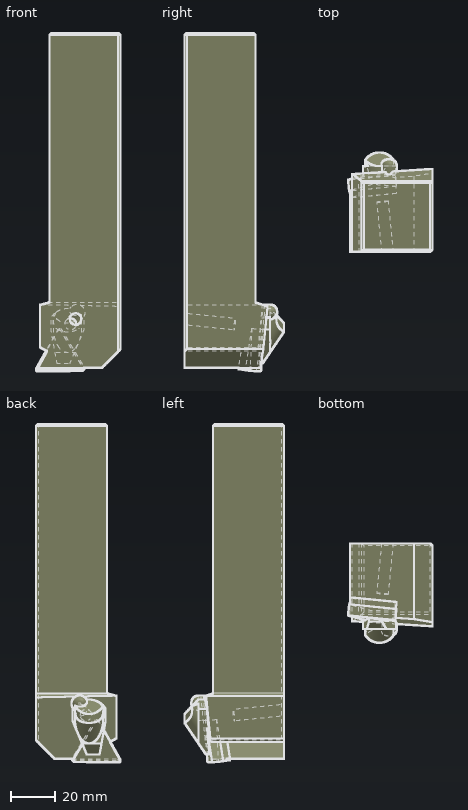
import cadquery as cq
import math

shank_size = 32.0
shank_top = 152.4
edge_chamfer = 1.0

head_overhang = 4.3
head_bottom = 1.7
shoulder_z = 31.1
shoulder_drop = 1.0
shoulder_fillet = 0.53
notch_z = 10.8
notch_x = -1.0
notch_root_z = 9.1
heel_x = -5.2
corner_chamfer = 8.4

head_rear_y = 35.0
head_rise_x = 0.067
head_rise_z = 0.1
rear_shoulder_slope = 0.33
head_stock_y = 45.7
cutter_size = 152.4

insert_edge = 22.7
insert_thickness = 5.0
insert_nose_radius = 0.84
insert_tip = (-6.7, 32.3, 0.0)
insert_rake = math.radians(5.7)
insert_approach = math.radians(1.0)
shim_thickness = 3.2
shim_inset = 0.2

clamp_x = 8.1
clamp_base_y = 32.8
clamp_peak_y = 44.8
clamp_half_width = 7.5
clamp_wall_y = 38.5
clamp_ridge_radius = 6.4
ridge_overrun = 15.2
clamp_nose_z = 3.7
clamp_nose_left = 3.4
clamp_nose_right = 9.1
clamp_nose_y = 35.2
clamp_flat_bottom_z = 18.9
clamp_flat_top_z = 24.1
clamp_back_z = 28.3
clamp_hump_bottom_z = 17.8
clamp_hump_top_z = 21.8
tail_x = 12.3
tail_z = 26.5
tail_radius = 3.7
tail_top_y = 41.8
tail_round = 3.2

screw_hole_x = 11.7
screw_hole_z = 23.6
screw_hole_diameter = 5.2
screw_hole_depth = 22.9
entry_overrun = 1.5

rake_slope = math.tan(insert_rake)
seat_normal = cq.Vector(-rake_slope, 1, -rake_slope)


def make_shank():
    """Square bar with one chamfered long edge and a chamfered end."""
    height = shank_top - shoulder_z
    bar = cq.Workplane("XY").box(shank_size, shank_size, height, centered=False)
    bar = bar.translate((0, 0, shoulder_z))
    return bar.faces(">Z").chamfer(edge_chamfer)


def make_head():
    """Head block with side notch, heel chamfer and sloping rear face."""
    shoulder_corner_z = shoulder_z - shoulder_drop
    outline = [
        (shank_size, shoulder_z),
        (0, shoulder_z),
        (-head_overhang, shoulder_corner_z),
        (-head_overhang, notch_z),
        (notch_x, notch_root_z),
        (heel_x, head_bottom),
        (shank_size - corner_chamfer, head_bottom),
        (shank_size, head_bottom + corner_chamfer),
    ]
    block = cq.Workplane("XZ").polyline(outline).close().extrude(-head_stock_y)

    rear_plane = cq.Plane(
        origin=(-head_overhang, head_rear_y, shoulder_corner_z),
        xDir=(1, head_rise_x, 0),
        normal=(-head_rise_x, 1, -head_rise_z),
    )
    above_rear = cq.Workplane(rear_plane).rect(cutter_size, cutter_size).extrude(head_stock_y)

    rear_depth = head_stock_y - shank_size
    above_shoulder = (
        cq.Workplane("YZ", origin=(-head_overhang, 0, 0))
        .moveTo(shank_size, shoulder_z)
        .lineTo(head_stock_y, shoulder_z)
        .lineTo(head_stock_y, shoulder_z - rear_shoulder_slope * rear_depth)
        .close()
        .extrude(head_overhang + shank_size)
    )
    return block.cut(above_rear).cut(above_shoulder)


def chamfer_long_edge(body):
    """Break the front edge of the plain side over the whole length."""
    cutter = (
        cq.Workplane("XY")
        .moveTo(shank_size - edge_chamfer, 0)
        .lineTo(shank_size, 0)
        .lineTo(shank_size, edge_chamfer)
        .close()
        .extrude(shank_top)
    )
    return body.cut(cutter)


def fillet_shoulder(body):
    """Round the inner corner where the head overhang meets the shank side."""
    corner = cq.selectors.NearestToPointSelector((0, shank_size / 2, shoulder_z))
    return body.edges("|Y").edges(corner).fillet(shoulder_fillet)


def triangle_prism(depth_below, thickness, inset):
    """Equilateral prism in the tilted seat, lying under the insert's rake face."""
    along = cq.Vector(math.cos(insert_approach), 0, math.sin(insert_approach))
    x_dir = along - seat_normal * (along.dot(seat_normal) / seat_normal.dot(seat_normal))
    seat = cq.Plane(origin=insert_tip, xDir=x_dir, normal=seat_normal)
    start = inset * math.sqrt(3)
    side = insert_edge - 2 * start
    corners = [
        (start, -inset),
        (start + side, -inset),
        (insert_edge / 2, -inset - side * math.sqrt(3) / 2),
    ]
    return (
        cq.Workplane(seat)
        .workplane(offset=-depth_below)
        .polyline(corners)
        .close()
        .extrude(-thickness)
        .edges(cq.selectors.ParallelDirSelector(seat_normal))
        .fillet(insert_nose_radius)
    )


def make_clamp():
    """Clamp arm: tapered base with flat side walls, a sloping round ridge and a domed tail."""
    left = clamp_x - clamp_half_width
    right = clamp_x + clamp_half_width
    arch = (
        cq.Workplane("XY")
        .moveTo(left, clamp_base_y)
        .lineTo(left, clamp_wall_y)
        .threePointArc((clamp_x, clamp_peak_y), (right, clamp_wall_y))
        .lineTo(right, clamp_base_y)
        .close()
        .extrude(shoulder_z)
    )
    side_profile = (
        cq.Workplane("YZ", origin=(left, 0, 0))
        .moveTo(clamp_base_y, clamp_back_z)
        .lineTo(clamp_wall_y, clamp_back_z)
        .lineTo(clamp_peak_y, clamp_hump_top_z)
        .lineTo(clamp_peak_y, clamp_hump_bottom_z)
        .lineTo(clamp_nose_y, clamp_nose_z)
        .lineTo(clamp_base_y, clamp_nose_z)
        .close()
        .extrude(2 * clamp_half_width)
    )
    plan = (
        cq.Workplane("XZ", origin=(0, clamp_peak_y, 0))
        .moveTo(clamp_nose_left, clamp_nose_z)
        .lineTo(clamp_nose_right, clamp_nose_z)
        .lineTo(right, clamp_flat_bottom_z)
        .lineTo(right, clamp_flat_top_z)
        .threePointArc((clamp_x, clamp_back_z), (left, clamp_flat_top_z))
        .lineTo(left, clamp_flat_bottom_z)
        .close()
        .extrude(clamp_peak_y - clamp_base_y)
    )
    below_walls = plan.translate((0, clamp_wall_y - clamp_peak_y, 0))

    slope_y = clamp_peak_y - clamp_nose_y
    slope_z = clamp_hump_bottom_z - clamp_nose_z
    slope_length = math.hypot(slope_y, slope_z)
    ridge_direction = cq.Vector(0, slope_y, slope_z)
    ridge_start = cq.Vector(
        clamp_x,
        clamp_nose_y - clamp_ridge_radius * slope_z / slope_length,
        clamp_nose_z + clamp_ridge_radius * slope_y / slope_length,
    )
    ridge_plane = cq.Plane(origin=ridge_start, xDir=(1, 0, 0), normal=ridge_direction)
    ridge = (
        cq.Workplane(ridge_plane)
        .workplane(offset=-ridge_overrun)
        .circle(clamp_ridge_radius)
        .extrude(slope_length + 2 * ridge_overrun)
        .intersect(plan)
    )
    arm = below_walls.union(ridge).intersect(side_profile).intersect(arch)
    tail = (
        cq.Workplane("XZ", origin=(tail_x, clamp_base_y, tail_z))
        .circle(tail_radius)
        .extrude(clamp_base_y - tail_top_y)
        .faces(">Y")
        .edges()
        .fillet(tail_round)
    )
    return arm.union(tail)


def make_screw_hole():
    """Blind round hole from the front face, square to the insert seat."""
    entry = cq.Plane(
        origin=(screw_hole_x, 0, screw_hole_z), xDir=(1, rake_slope, 0), normal=seat_normal
    )
    return (
        cq.Workplane(entry)
        .workplane(offset=-entry_overrun)
        .circle(screw_hole_diameter / 2)
        .extrude(screw_hole_depth + entry_overrun)
    )


insert = triangle_prism(0, insert_thickness, 0)
shim = triangle_prism(insert_thickness, shim_thickness, shim_inset)

holder = make_shank().union(make_head())
holder = fillet_shoulder(chamfer_long_edge(holder))
holder = holder.union(shim).union(make_clamp()).cut(make_screw_hole()).cut(insert)

result = cq.Compound.makeCompound([holder.solids().val(), insert.val()])